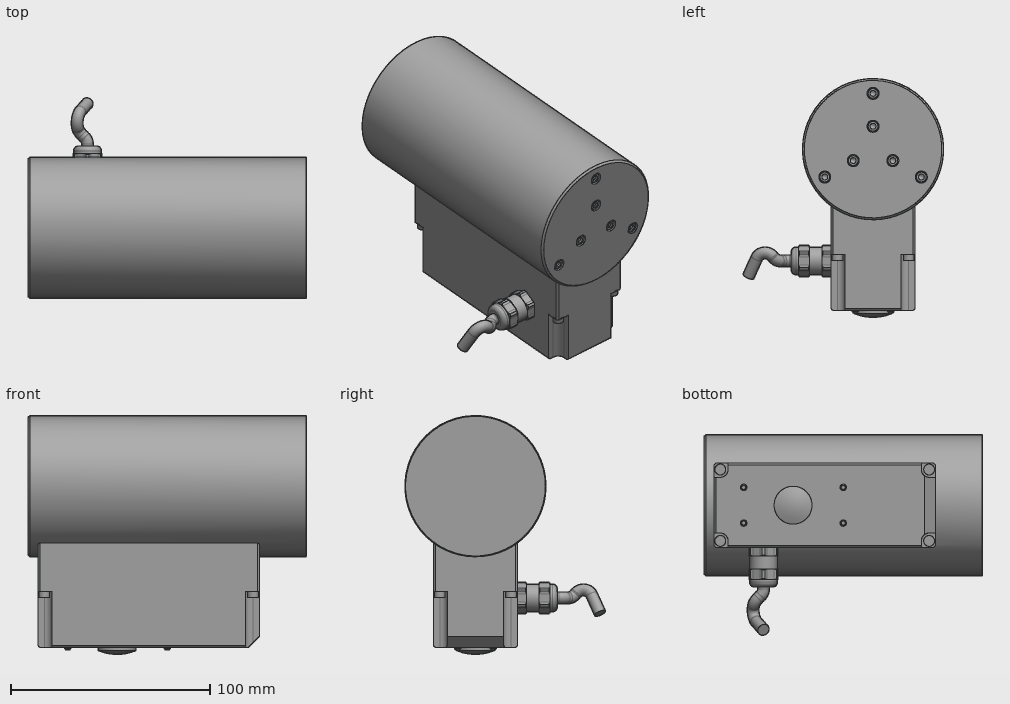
import cadquery as cq
import math

BARREL_LENGTH = 140.0
BARREL_DIAMETER = 71.0
BARREL_NEAR_CHAMFER = 1.0
BARREL_FAR_CHAMFER = 0.4

BOX_START = 5.0
BOX_LENGTH = 111.3
BOX_WIDTH = 42.3
BOX_BOTTOM = -81.0
BOX_EDGE_CHAMFER = 1.0
BOX_END_CHAMFER = 5.6

NOTCH_DEPTH = 7.1
NOTCH_FILLET = 3.9
NOTCH_TOP = -52.9
PIN_DIAMETER = 5.5
PIN_HEIGHT = 3.1

SCREW_CIRCLES = [(28.0, 3), (11.5, 3)]
SCREW_BORE_DIAMETER = 6.0
SCREW_BORE_DEPTH = 2.1
SCREW_HEAD_DIAMETER = 4.9
SCREW_HEAD_SINK = 0.5
SOCKET_DIAMETER = 3.0
SOCKET_DEPTH = 1.1
SOCKET_CONE_DEPTH = 0.7

PLUG_X = 44.8
PLUG_DIAMETER = 19.0
PLUG_RIM_HEIGHT = 1.5
PLUG_HEIGHT = 3.5
COVER_SCREW_XS = [20.0, 70.0]
COVER_SCREW_SPREAD = 17.9
COVER_SCREW_DIAMETER = 3.2
COVER_SCREW_HEIGHT = 1.1
COVER_SCREW_CHAMFER = 0.5

GLAND_X = 30.0
GLAND_Z = -56.1
GLAND_DIAMETER = 14.0
GLAND_END = 41.2
GLAND_ROUND = 2.5
NUT_SIDES = 6
NUT_FLAT_DISTANCE = 7.1
NUT_FLAT_WIDTH = 4.2
NUT_RIB_DISTANCE = 8.0
NUT_RIB_WIDTH = 1.4
NUT_LENGTH = 5.5
NUT_CHAMFER = 0.5
OUTER_NUT_END = 37.4

CABLE_DIAMETER = 6.0
CABLE_BEND_RADIUS = 4.8
CABLE_CORNERS = [
    (GLAND_X, 44.0, GLAND_Z),
    (25.5, 48.5, GLAND_Z),
    (23.7, 55.5, -48.2),
]
CABLE_TIP = (30.0, 62.6, -63.8)

barrel_radius = BARREL_DIAMETER / 2
box_side = BOX_WIDTH / 2
box_end = BOX_START + BOX_LENGTH
notch_center_inset = NOTCH_DEPTH - NOTCH_FILLET


def make_barrel():
    barrel = cq.Workplane("YZ").circle(barrel_radius).extrude(BARREL_LENGTH)
    barrel = barrel.faces("<X").chamfer(BARREL_NEAR_CHAMFER)
    return barrel.faces(">X").chamfer(BARREL_FAR_CHAMFER)


def make_box():
    box = (
        cq.Workplane("XY", origin=(BOX_START, 0, BOX_BOTTOM))
        .box(BOX_LENGTH, BOX_WIDTH, -BOX_BOTTOM, centered=(False, True, False))
        .edges("|Z or (<Z and (not >X))")
        .chamfer(BOX_EDGE_CHAMFER)
    )
    wedge = (
        cq.Workplane("XZ", origin=(box_end, 0, BOX_BOTTOM))
        .polyline([(0, 0), (-BOX_END_CHAMFER, 0), (0, BOX_END_CHAMFER)])
        .close()
        .extrude(box_side, both=True)
    )
    return box.cut(wedge)


def box_corners():
    """Positions of the upright box corners, paired with the centres of their notch fillets."""
    inset_xs = (BOX_START + notch_center_inset, box_end - notch_center_inset)
    return [
        ((x, side * box_side), (inset_x, side * (box_side - notch_center_inset)))
        for x, inset_x in zip((BOX_START, box_end), inset_xs)
        for side in (-1, 1)
    ]


def make_notch(corner):
    """Upright post centred on a box corner; the quarter inside the box becomes the notch."""
    notch = (
        cq.Workplane("XY", origin=(*corner, BOX_BOTTOM))
        .rect(2 * NOTCH_DEPTH, 2 * NOTCH_DEPTH)
        .extrude(NOTCH_TOP - BOX_BOTTOM)
    )
    return notch.edges("|Z").fillet(NOTCH_FILLET)


def make_notch_pin(center):
    return (
        cq.Workplane("XY", origin=(*center, NOTCH_TOP))
        .circle(PIN_DIAMETER / 2)
        .extrude(-PIN_HEIGHT)
    )


def make_screw_recess():
    """Annular gap around a screw head plus its socket, sunk along +X from the origin."""
    head_radius = SCREW_HEAD_DIAMETER / 2
    bore_radius = SCREW_BORE_DIAMETER / 2
    socket_radius = SOCKET_DIAMETER / 2
    socket_floor = SCREW_HEAD_SINK + SOCKET_DEPTH
    profile = [
        (0, 0),
        (0, bore_radius),
        (SCREW_BORE_DEPTH, bore_radius),
        (SCREW_BORE_DEPTH, head_radius),
        (SCREW_HEAD_SINK, head_radius),
        (SCREW_HEAD_SINK, socket_radius),
        (socket_floor, socket_radius),
        (socket_floor + SOCKET_CONE_DEPTH, 0),
    ]
    return cq.Workplane("XY").polyline(profile).close().revolve(360, (0, 0, 0), (1, 0, 0))


def cut_screw_recesses(body):
    recess = make_screw_recess()
    for radius, count in SCREW_CIRCLES:
        for i in range(count):
            angle = math.radians(90 + 360 * i / count)
            body = body.cut(recess.translate((0, radius * math.cos(angle), radius * math.sin(angle))))
    return body


def make_plug():
    radius = PLUG_DIAMETER / 2
    dome_height = PLUG_HEIGHT - PLUG_RIM_HEIGHT
    dome_radius = (radius**2 + dome_height**2) / (2 * dome_height)
    half_angle = math.asin(radius / dome_radius) / 2
    dome_center = dome_radius - PLUG_HEIGHT
    dome_mid = (dome_radius * math.sin(half_angle), dome_center - dome_radius * math.cos(half_angle))
    return (
        cq.Workplane("XZ", origin=(PLUG_X, 0, BOX_BOTTOM))
        .moveTo(0, 0)
        .lineTo(radius, 0)
        .lineTo(radius, -PLUG_RIM_HEIGHT)
        .threePointArc(dome_mid, (0, -PLUG_HEIGHT))
        .close()
        .revolve(360, (0, 0, 0), (0, 1, 0))
    )


def make_cover_screws():
    spots = [(x, side * COVER_SCREW_SPREAD / 2) for x in COVER_SCREW_XS for side in (-1, 1)]
    return (
        cq.Workplane("XY", origin=(0, 0, BOX_BOTTOM))
        .pushPoints(spots)
        .circle(COVER_SCREW_DIAMETER / 2)
        .extrude(-COVER_SCREW_HEIGHT)
        .faces("<Z")
        .chamfer(COVER_SCREW_CHAMFER)
    )


def gland_plane(y):
    """Plane across the gland axis at the given Y, facing +Y."""
    return cq.Workplane(cq.Plane((GLAND_X, y, GLAND_Z), (0, 0, 1), (0, 1, 0)))


def face_ends(distance, width, angle):
    """Two end points of a flat face seen edge-on, square to the given direction in degrees."""
    cos_a = math.cos(math.radians(angle))
    sin_a = math.sin(math.radians(angle))
    return [
        (distance * cos_a - offset * sin_a, distance * sin_a + offset * cos_a)
        for offset in (-width / 2, width / 2)
    ]


def make_nut(y_start):
    """Hexagonal nut with a raised rib along each of its corners."""
    outline = []
    half_pitch = 180 / NUT_SIDES
    for side in range(NUT_SIDES):
        rib_angle = 2 * side * half_pitch
        flat_angle = rib_angle + half_pitch
        outline += face_ends(NUT_RIB_DISTANCE, NUT_RIB_WIDTH, rib_angle)
        outline += face_ends(NUT_FLAT_DISTANCE, NUT_FLAT_WIDTH, flat_angle)
    nut = gland_plane(y_start).polyline(outline).close().extrude(NUT_LENGTH)
    envelope_radius = math.hypot(NUT_RIB_DISTANCE, NUT_RIB_WIDTH / 2)
    envelope = gland_plane(y_start).circle(envelope_radius).extrude(NUT_LENGTH)
    return nut.intersect(envelope.faces("<Y or >Y").chamfer(NUT_CHAMFER))


def make_gland():
    sleeve = gland_plane(0).circle(GLAND_DIAMETER / 2).extrude(GLAND_END)
    sleeve = sleeve.faces(">Y").edges().fillet(GLAND_ROUND)
    inner_nut = make_nut(box_side - BOX_EDGE_CHAMFER)
    outer_nut = make_nut(OUTER_NUT_END - NUT_LENGTH)
    return sleeve.union(inner_nut).union(outer_nut)


def make_bend(before, corner, after):
    """Arc of the cable bend radius that rounds off the corner between two straight runs."""
    back = (before - corner).normalized()
    ahead = (after - corner).normalized()
    half_angle = back.getAngle(ahead) / 2
    tangent_length = CABLE_BEND_RADIUS / math.tan(half_angle)
    gap = CABLE_BEND_RADIUS / math.sin(half_angle) - CABLE_BEND_RADIUS
    middle = corner + (back + ahead).normalized() * gap
    return cq.Edge.makeThreePointArc(
        corner + back * tangent_length, middle, corner + ahead * tangent_length
    )


def make_cable():
    start = (GLAND_X, GLAND_END - GLAND_ROUND, GLAND_Z)
    points = [cq.Vector(*point) for point in (start, *CABLE_CORNERS, CABLE_TIP)]
    path_edges = []
    run_start = points[0]
    for before, corner, after in zip(points, points[1:], points[2:]):
        bend = make_bend(before, corner, after)
        path_edges.append(cq.Edge.makeLine(run_start, bend.startPoint()))
        path_edges.append(bend)
        run_start = bend.endPoint()
    path_edges.append(cq.Edge.makeLine(run_start, points[-1]))
    path = cq.Workplane(cq.Wire.assembleEdges(path_edges))
    return gland_plane(points[0].y).circle(CABLE_DIAMETER / 2).sweep(path)


box = make_box()
for corner, fillet_center in box_corners():
    box = box.cut(make_notch(corner)).union(make_notch_pin(fillet_center))

result = cut_screw_recesses(make_barrel().union(box))
for attachment in (make_plug(), make_cover_screws(), make_gland(), make_cable()):
    result = result.union(attachment)